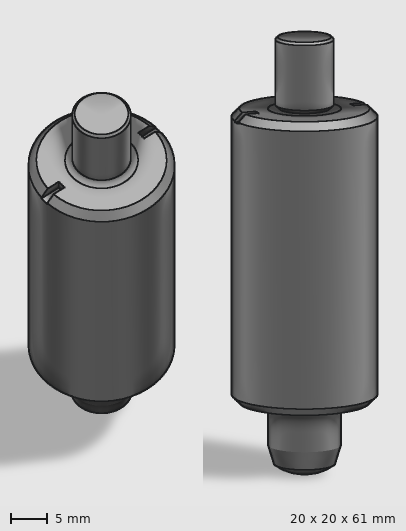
import cadquery as cq

sleeve_radius = 10.0
sleeve_length = 41.0
sleeve_chamfer = 1.1
slot_width = 1.3
slot_depth = 1.3
slot_inner_radius = 6.95

overall_length = 61.0
shank_radius = 5.0
shank_reach = 6.0
nose_side_height = 2.6
nose_tip_radius = 4.2
dome_height = 1.4
stem_radius = 4.0
stem_chamfer = 0.35
neck_radius = 3.4
neck_taper_height = 0.55

nose_top_z = -shank_reach
dome_edge_z = nose_top_z - nose_side_height
pin_bottom_z = dome_edge_z - dome_height
pin_top_z = pin_bottom_z + overall_length


def make_sleeve():
    """Bored cylinder, chamfered outside, with two driver slots in its top face."""
    body = cq.Workplane("XY").circle(sleeve_radius).extrude(sleeve_length)
    body = body.faces("<Z or >Z").edges().chamfer(sleeve_chamfer)
    bore = cq.Workplane("XY").circle(shank_radius).extrude(sleeve_length)
    body = body.cut(bore)
    slot_length = sleeve_radius - slot_inner_radius
    for side in (-1, 1):
        slot = (
            cq.Workplane("XY", origin=(0, 0, sleeve_length - slot_depth))
            .center(0, side * (slot_inner_radius + slot_length / 2))
            .rect(slot_width, slot_length)
            .extrude(slot_depth)
        )
        body = body.cut(slot)
    return body


def make_pin():
    """Turned pin: dome, conical nose, shank, tapered neck and chamfered stem."""
    dome_sphere_radius = (nose_tip_radius**2 + dome_height**2) / (2 * dome_height)
    return (
        cq.Workplane("XZ")
        .moveTo(0, pin_bottom_z)
        .radiusArc((nose_tip_radius, dome_edge_z), -dome_sphere_radius)
        .lineTo(shank_radius, nose_top_z)
        .lineTo(shank_radius, sleeve_length)
        .lineTo(neck_radius, sleeve_length)
        .lineTo(stem_radius, sleeve_length + neck_taper_height)
        .lineTo(stem_radius, pin_top_z - stem_chamfer)
        .lineTo(stem_radius - stem_chamfer, pin_top_z)
        .lineTo(0, pin_top_z)
        .close()
        .revolve(360, (0, 0, 0), (0, 1, 0))
    )


sleeve = make_sleeve()
pin = make_pin()
result = cq.Compound.makeCompound([sleeve.val(), pin.val()])